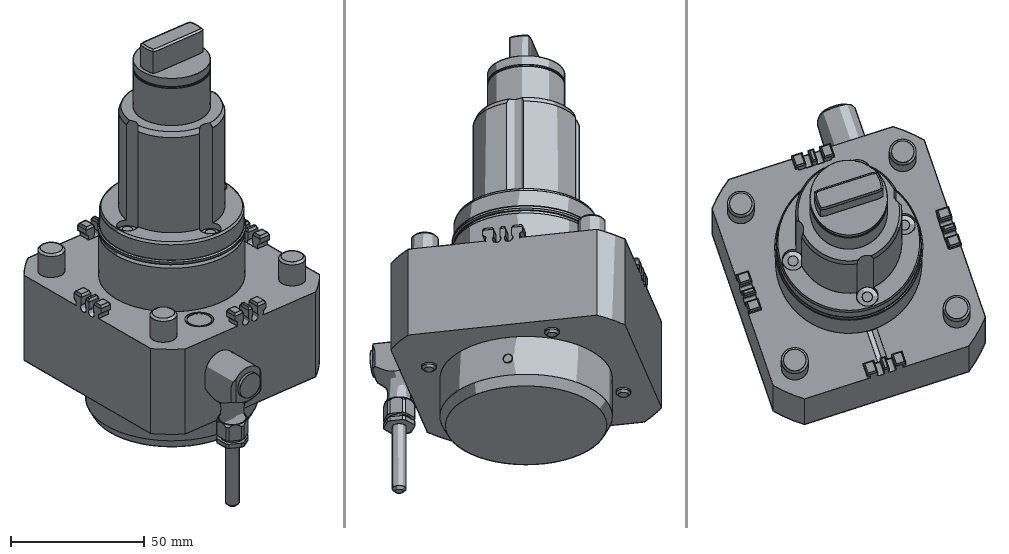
import cadquery as cq
import math


housing_x = 89.9
housing_y = 84.0
housing_height = 36.9
housing_corner_radius = 55.5

base_radius = 32.4
base_bottom = -20.1
base_chamfer_radial = 2.1
base_chamfer_height = 3.8
collar_radius = 27.5
collar_top = 57.2
collar_chamfer_radial = 0.7
collar_chamfer_height = 1.4
seal_radius = 27.8
seal_height = 2.0
seal_chamfer = 0.5
flange_radius = 27.1
flange_top = 66.8
flange_chamfer_radial = 0.5
flange_chamfer_height = 1.0
column_radius = 20.0
column_top = 110.2
column_chamfer_radial = 0.9
column_chamfer_height = 2.1
shaft_radius = 14.5
shaft_top = 130.7
shaft_groove_z = 126.6
shaft_groove_width = 0.7
shaft_groove_depth = 0.26

key_width = 8.0
key_end_radius = 13.0
key_taper_start = 10.3
key_taper = 0.3
key_top = 140.8
key_chamfer = 0.7

screw_circle_radius = 22.0
screw_recess_radius = 4.0
screw_recess_depth = 2.5
screw_head_height = 0.9
screw_tip_radius = 2.0

pin_offset = 32.0
pin_radius = 5.0
pin_top = 46.9
pin_chamfer = 0.9
plug_x = 31.8
plug_y = -14.0
plug_outer_radius = 5.5
plug_inner_radius = 4.7
plug_groove_depth = 0.3

clip_height = 5.8
clip_depth = 4.9
clip_half_width = 7.7
clip_neck_half_width = 6.5
clip_neck_height = 1.7
clip_shoulder_height = 2.6
clip_bevel_height = 1.0
clip_bevel_inset = 0.5
clip_tooth_height = clip_height - clip_bevel_height
clip_slot_center = 2.3
clip_slot_width = 2.5
clip_slot_end_radius = 1.5
clip_slot_end_height = 0.5

channel_half_width = 2.0
channel_depth = 0.9

foot_radius = 2.8
foot_height = 1.5
foot_chamfer = 0.9
foot_near = 17.1
foot_far = 33.5
stud_radius = 1.7
stud_z = -9.3
stud_projection = 0.5

outlet_x = 52.0
outlet_y = -15.0
head_half_width = 7.5
head_side_top = 21.9
head_top = head_side_top + head_half_width
head_end_x = 60.9
head_corner_x = 1.2
head_corner_y = 1.5
cap_radius = 5.0
cap_end_x = 62.1
cone_bottom_radius = 5.6
cone_bottom = 11.7
cone_slope = 0.92
neck_radius = 4.4
neck_middle = 7.3
neck_waist_length = 1.2
neck_flare_radius = 5.0
nut_across_flats = 10.8
nut_corner_radius = 6.0
nut_chamfer_height = 1.0
nut_top = 3.5
nut_bottom = -3.3
lock_plate_top = -4.7
lock_plate_bottom = -6.5
cable_radius = 2.6
cable_bottom = -34.1
cable_chamfer = 1.0


def cylinder(radius, bottom, top, x=0, y=0):
    return cq.Workplane("XY", origin=(x, y, bottom)).circle(radius).extrude(top - bottom)


def turned(profile, x=0, y=0):
    """Revolve (radius, height) points about a vertical axis through x, y."""
    section = cq.Workplane("XZ", origin=(x, y, 0)).polyline(profile).close()
    return section.revolve(360, (0, 0, 0), (0, 1, 0))


def make_housing():
    block = cq.Workplane("XY").rect(housing_x, housing_y).extrude(housing_height)
    return block.intersect(cylinder(housing_corner_radius, 0, housing_height))


def make_stem():
    seal_top = collar_top + seal_height
    groove_radius = shaft_radius - shaft_groove_depth
    groove_bottom = shaft_groove_z - shaft_groove_width / 2
    groove_top = shaft_groove_z + shaft_groove_width / 2
    return turned([
        (0, base_bottom),
        (base_radius - base_chamfer_radial, base_bottom),
        (base_radius, base_bottom + base_chamfer_height),
        (base_radius, 0),
        (collar_radius, 0),
        (collar_radius, collar_top - collar_chamfer_height),
        (collar_radius - collar_chamfer_radial, collar_top),
        (seal_radius - seal_chamfer, collar_top),
        (seal_radius, collar_top + seal_chamfer),
        (seal_radius, seal_top - seal_chamfer),
        (seal_radius - seal_chamfer, seal_top),
        (flange_radius, seal_top),
        (flange_radius, flange_top - flange_chamfer_height),
        (flange_radius - flange_chamfer_radial, flange_top),
        (column_radius, flange_top),
        (column_radius, column_top - column_chamfer_height),
        (column_radius - column_chamfer_radial, column_top),
        (shaft_radius, column_top),
        (shaft_radius, groove_bottom),
        (groove_radius, groove_bottom),
        (groove_radius, groove_top),
        (shaft_radius, groove_top),
        (shaft_radius, shaft_top),
        (0, shaft_top),
    ])


def make_key():
    """Flat tongue with slightly tapering ends rounded about the stem axis."""
    half_width = key_width / 2
    corner_x = half_width - key_taper
    corner_y = math.sqrt(key_end_radius**2 - corner_x**2)
    return (
        cq.Workplane("XY", origin=(0, 0, shaft_top))
        .moveTo(half_width, -key_taper_start)
        .lineTo(half_width, key_taper_start)
        .lineTo(corner_x, corner_y)
        .threePointArc((0, key_end_radius), (-corner_x, corner_y))
        .lineTo(-half_width, key_taper_start)
        .lineTo(-half_width, -key_taper_start)
        .lineTo(-corner_x, -corner_y)
        .threePointArc((0, -key_end_radius), (corner_x, -corner_y))
        .close()
        .extrude(key_top - shaft_top)
        .faces(">Z")
        .chamfer(key_chamfer)
    )


def add_flange_screws(body):
    """Cut four screw channels down the column and set a conical head in each."""
    floor = flange_top - screw_recess_depth
    for quarter in range(4):
        angle = quarter * math.pi / 2
        x = screw_circle_radius * math.cos(angle)
        y = screw_circle_radius * math.sin(angle)
        head = turned([
            (0, floor),
            (screw_recess_radius, floor),
            (screw_tip_radius, floor + screw_head_height),
            (0, floor + screw_head_height),
        ], x, y)
        body = body.cut(cylinder(screw_recess_radius, floor, column_top, x, y)).union(head)
    return body


def make_pin(x, y):
    return cylinder(pin_radius, housing_height, pin_top, x, y).faces(">Z").chamfer(pin_chamfer)


def make_plug_groove():
    """Ring groove with a sloping outer wall around the cover plug."""
    return turned([
        (plug_inner_radius, housing_height),
        (plug_inner_radius, housing_height - plug_groove_depth),
        (plug_outer_radius, housing_height),
    ], plug_x, plug_y)


def clip_workplane(edge_distance):
    """Plane on the -Y housing edge, with its origin level with the housing top."""
    return cq.Workplane("XZ", origin=(0, -edge_distance, housing_height))


def make_tooth_top(left, right, edge_distance):
    """Bevelled top of one clip tooth, narrowing upward on all four sides."""
    center = ((left + right) / 2, clip_depth / 2 - edge_distance, housing_height + clip_tooth_height)
    taper = math.degrees(math.atan(clip_bevel_inset / clip_bevel_height))
    return (
        cq.Workplane("XY", origin=center)
        .rect(right - left, clip_depth)
        .extrude(clip_bevel_height, taper=taper)
    )


def add_clip(body, edge_distance, turn):
    """Add a clip to the housing edge that lies the given turn from -Y."""
    clip = (
        clip_workplane(edge_distance)
        .polyline([
            (-clip_neck_half_width, 0),
            (clip_neck_half_width, 0),
            (clip_neck_half_width, clip_neck_height),
            (clip_half_width, clip_shoulder_height),
            (clip_half_width, clip_tooth_height),
            (-clip_half_width, clip_tooth_height),
            (-clip_half_width, clip_shoulder_height),
            (-clip_neck_half_width, clip_neck_height),
        ])
        .close()
        .extrude(-clip_depth)
    )
    slot_centers = [(-clip_slot_center, 0), (clip_slot_center, 0)]
    slot_ends = (
        clip_workplane(edge_distance)
        .pushPoints(slot_centers)
        .circle(clip_slot_end_radius)
        .extrude(-clip_depth)
        .translate((0, 0, clip_slot_end_height))
    )
    slots = (
        clip_workplane(edge_distance)
        .pushPoints(slot_centers)
        .rect(clip_slot_width, 2 * clip_height)
        .extrude(-clip_depth)
        .translate((0, 0, clip_height + clip_slot_end_height))
        .union(slot_ends)
    )
    clip = clip.cut(slots)
    slot_inner = clip_slot_center - clip_slot_width / 2
    slot_outer = clip_slot_center + clip_slot_width / 2
    for left, right in (
        (-clip_half_width, -slot_outer),
        (-slot_inner, slot_inner),
        (slot_outer, clip_half_width),
    ):
        clip = clip.union(make_tooth_top(left, right, edge_distance))
    axis = ((0, 0, 0), (0, 0, 1))
    return body.cut(slots.rotate(*axis, turn)).union(clip.rotate(*axis, turn))


def make_channel():
    """V-shaped channel across the housing top, from the -X clip to the collar."""
    start = -housing_x / 2 + clip_depth
    return (
        cq.Workplane("YZ", origin=(start, 0, housing_height))
        .polyline([(-channel_half_width, 0), (0, -channel_depth), (channel_half_width, 0)])
        .close()
        .extrude(-collar_radius - start)
    )


def make_foot(x, y):
    return cylinder(foot_radius, -foot_height, 0, x, y).faces("<Z").chamfer(foot_chamfer)


def make_stud():
    return (
        cq.Workplane("XZ", origin=(0, 0, stud_z))
        .circle(stud_radius)
        .extrude(-(base_radius + stud_projection))
    )


def make_outlet_head():
    """Round-topped block with a conical underside, and a cap on its end."""
    head_start = 2 * outlet_x - head_end_x
    head_length = head_end_x - head_start
    head = (
        cq.Workplane("YZ", origin=(head_start, outlet_y, 0))
        .moveTo(-head_half_width, cone_bottom)
        .lineTo(-head_half_width, head_side_top)
        .threePointArc((0, head_top), (head_half_width, head_side_top))
        .lineTo(head_half_width, cone_bottom)
        .close()
        .extrude(head_length)
    )
    head = head.intersect(make_head_plan(head_start)).intersect(make_head_cone())
    cap = (
        cq.Workplane("YZ", origin=(head_start, outlet_y, head_side_top))
        .circle(cap_radius)
        .extrude(cap_end_x - head_start)
    )
    return head.union(cap)


def make_head_plan(head_start):
    """Upright block with the head's plan outline, its two outer corners cut off."""
    corner_start_x = head_end_x - head_corner_x
    end_half_width = head_half_width - head_corner_y
    return (
        cq.Workplane("XY", origin=(0, outlet_y, 0))
        .polyline([
            (head_start, -head_half_width),
            (corner_start_x, -head_half_width),
            (head_end_x, -end_half_width),
            (head_end_x, end_half_width),
            (corner_start_x, head_half_width),
            (head_start, head_half_width),
        ])
        .close()
        .extrude(head_top)
    )


def make_head_cone():
    """Cone widening upward past the head's corners, to shape its underside."""
    wide_radius = 2 * head_half_width
    wide_z = cone_bottom + (wide_radius - cone_bottom_radius) * cone_slope
    return turned([
        (0, cone_bottom),
        (cone_bottom_radius, cone_bottom),
        (wide_radius, wide_z),
        (wide_radius, head_top),
        (0, head_top),
    ], outlet_x, outlet_y)


def neck_half(end_radius, end_z):
    """Half of the neck, flaring smoothly from its waist to the given end."""
    waist_end = neck_middle + math.copysign(neck_waist_length / 2, end_z - neck_middle)
    return (
        cq.Workplane("XZ", origin=(outlet_x, outlet_y, 0))
        .moveTo(0, neck_middle)
        .lineTo(neck_radius, neck_middle)
        .lineTo(neck_radius, waist_end)
        .tangentArcPoint((end_radius, end_z), relative=False)
        .lineTo(0, end_z)
        .close()
        .revolve(360, (0, 0, 0), (0, 1, 0))
    )


def make_neck():
    return neck_half(cone_bottom_radius, cone_bottom).union(neck_half(neck_flare_radius, nut_top))


def make_hexagon(bottom, top):
    """Hexagonal plate around the cable, its corners turned down to a cylinder."""
    plate = (
        cq.Workplane("XY", origin=(outlet_x, outlet_y, bottom))
        .polygon(6, nut_across_flats / math.cos(math.pi / 6))
        .extrude(top - bottom)
    )
    return plate.intersect(cylinder(nut_corner_radius, bottom, top, outlet_x, outlet_y))


def make_cable_gland():
    """Clamping nut, lock plate and cable below the neck."""
    nut_envelope = turned([
        (0, nut_bottom),
        (nut_corner_radius, nut_bottom),
        (nut_corner_radius, nut_top - nut_chamfer_height),
        (nut_across_flats / 2, nut_top),
        (0, nut_top),
    ], outlet_x, outlet_y)
    nut = make_hexagon(nut_bottom, nut_top).intersect(nut_envelope)
    lock_plate = make_hexagon(lock_plate_bottom, lock_plate_top)
    spacer = cylinder(neck_radius, lock_plate_bottom, nut_bottom, outlet_x, outlet_y)
    cable = cylinder(cable_radius, cable_bottom, cone_bottom, outlet_x, outlet_y)
    cable = cable.faces("<Z").chamfer(cable_chamfer)
    return nut.union(lock_plate).union(spacer).union(cable)


result = make_housing().union(make_stem()).union(make_key())
result = add_flange_screws(result)
result = result.cut(make_plug_groove()).cut(make_channel())

for side_x in (-1, 1):
    for side_y in (-1, 1):
        result = result.union(make_pin(side_x * pin_offset, side_y * pin_offset))

for turn in (0, 180):
    result = add_clip(result, housing_y / 2, turn)
    result = add_clip(result, housing_x / 2, turn + 90)

for foot_x, foot_y in (
    (foot_near, -foot_far),
    (foot_far, foot_near),
    (-foot_near, foot_far),
    (-foot_far, -foot_near),
):
    result = result.union(make_foot(foot_x, foot_y))

result = result.union(make_stud())
result = result.union(make_outlet_head()).union(make_neck()).union(make_cable_gland())